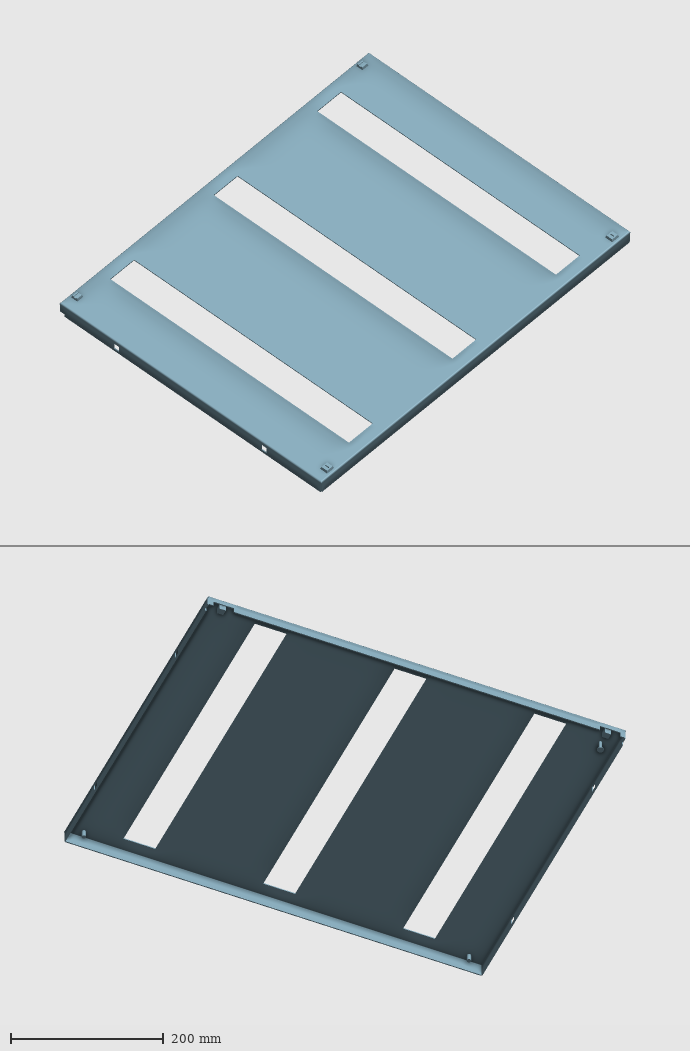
import cadquery as cq

LENGTH_X = 465.0
LENGTH_Y = 598.0
OVERALL_HEIGHT = 23.5
PANEL_HEIGHT = 20.0
SHEET = 1.5
PLATE_UNDERSIDE = PANEL_HEIGHT - SHEET
BEND_RADIUS = 2.25
LEFT_FLANGE_RISE = 4.5
CORNER_RELIEF_X = 1.0
CORNER_RELIEF_Y = 1.7
CORNER_STEP = 9.0
HALF_X = LENGTH_X / 2
HALF_Y = LENGTH_Y / 2

SLOT_X = 424.0
SLOT_Y = 46.0
SLOT_PITCH = 200.0
SLOT_COUNT = 3

SQUARE = 9.5
SQUARE_X = 131.0
SQUARE_Z = 9.0

CLIP_CENTRE_X = HALF_X - 10.0
SCREW_X = HALF_X - 11.0
FASTENER_Y = HALF_Y - 23.5
HEAD_TAPER = 20.0
FASTENER_BOTTOM = 8.5

NOTCH_START = 8.0
NOTCH_LENGTH = 29.0
NOTCH_TOP = 11.5

CLIP_X = 11.0
CLIP_Y = 11.5
CLIP_STEM = 9.0
CLIP_SLIT = 4.0
CLIP_SLIT_FLOOR = OVERALL_HEIGHT - 1.0

COLLAR_X = 12.5
COLLAR_Y = 13.5
COLLAR_HOLE = 8.0
SHANK_DIAMETER = 6.0
DRIVE_LENGTH = 6.0
DRIVE_WIDTH = 1.5
DRIVE_DEPTH = 2.0

STUD_X = -HALF_X + 33.0
STUD_Y = -HALF_Y + 22.0
STUD_DIAMETER = 4.5
STUD_HEAD = 9.0
STUD_HEAD_HEIGHT = 1.0
STUD_BOTTOM = 4.0


def box_between(low, high):
    size = [b - a for a, b in zip(low, high)]
    return cq.Workplane("XY").box(*size, centered=False).translate(low)


def rod(diameter, bottom, top, x=0.0, y=0.0):
    return cq.Workplane("XY", origin=(x, y, bottom)).circle(diameter / 2).extrude(top - bottom)


def make_panel():
    outer = box_between((-HALF_X, -HALF_Y, 0), (HALF_X, HALF_Y, PANEL_HEIGHT))
    outer = outer.faces(">Z").edges().fillet(BEND_RADIUS)
    inner = box_between(
        (-HALF_X + SHEET, -HALF_Y + SHEET, 0),
        (HALF_X - SHEET, HALF_Y - SHEET, PLATE_UNDERSIDE),
    )
    inner = inner.faces(">Z").edges().fillet(BEND_RADIUS - SHEET)
    panel = outer.cut(inner)

    slots = (
        cq.Workplane("XY")
        .rarray(1, SLOT_PITCH, 1, SLOT_COUNT)
        .rect(SLOT_X, SLOT_Y)
        .extrude(PANEL_HEIGHT)
    )
    panel = panel.cut(slots)

    squares = (
        cq.Workplane("XZ", origin=(0, HALF_Y, SQUARE_Z))
        .rarray(2 * SQUARE_X, 1, 2, 1)
        .rect(SQUARE, SQUARE)
        .extrude(LENGTH_Y)
    )
    panel = panel.cut(squares)

    panel = panel.cut(box_between(
        (-HALF_X, -HALF_Y, 0), (-HALF_X + CORNER_STEP, HALF_Y, LEFT_FLANGE_RISE)))

    reliefs = (
        cq.Workplane("XY")
        .rarray(LENGTH_X - CORNER_RELIEF_X, LENGTH_Y - CORNER_RELIEF_Y, 2, 2)
        .rect(CORNER_RELIEF_X, CORNER_RELIEF_Y)
        .extrude(PANEL_HEIGHT - BEND_RADIUS)
    )
    panel = panel.cut(reliefs)

    for side in (-1, 1):
        notch_y = side * (HALF_Y - NOTCH_START - NOTCH_LENGTH / 2)
        panel = panel.cut(box_between(
            (-HALF_X, notch_y - NOTCH_LENGTH / 2, 0),
            (-HALF_X + SHEET, notch_y + NOTCH_LENGTH / 2, NOTCH_TOP)))
        panel = panel.cut(box_between(
            (-CLIP_CENTRE_X - CLIP_STEM / 2, side * FASTENER_Y - CLIP_STEM / 2, PLATE_UNDERSIDE),
            (-CLIP_CENTRE_X + CLIP_STEM / 2, side * FASTENER_Y + CLIP_STEM / 2, PANEL_HEIGHT)))
        panel = panel.cut(rod(SHANK_DIAMETER, PLATE_UNDERSIDE, PANEL_HEIGHT, SCREW_X, side * FASTENER_Y))
    return panel


def make_head(size_x, size_y):
    head = cq.Workplane("XY", origin=(0, 0, PANEL_HEIGHT)).rect(size_x, size_y)
    return head.extrude(OVERALL_HEIGHT - PANEL_HEIGHT, taper=HEAD_TAPER)


def make_clip(side):
    stem = CLIP_STEM / 2
    clip = make_head(CLIP_X, CLIP_Y)
    clip = clip.union(box_between((-stem, -stem, FASTENER_BOTTOM), (stem, stem, PANEL_HEIGHT)))
    clip = clip.cut(box_between(
        (-CLIP_SLIT / 2, -CLIP_Y / 2, CLIP_SLIT_FLOOR), (CLIP_SLIT / 2, CLIP_Y / 2, OVERALL_HEIGHT)))
    return clip.translate((-CLIP_CENTRE_X, side * FASTENER_Y, 0))


def make_collar(side):
    collar = make_head(COLLAR_X, COLLAR_Y)
    collar = collar.cut(rod(COLLAR_HOLE, PANEL_HEIGHT, OVERALL_HEIGHT))
    return collar.translate((SCREW_X, side * FASTENER_Y, 0))


def make_screw(side):
    screw = rod(COLLAR_HOLE, PANEL_HEIGHT, OVERALL_HEIGHT)
    screw = screw.union(rod(SHANK_DIAMETER, FASTENER_BOTTOM, PANEL_HEIGHT))
    drive = (
        cq.Workplane("XY", origin=(0, 0, OVERALL_HEIGHT - DRIVE_DEPTH))
        .rect(DRIVE_LENGTH, DRIVE_WIDTH)
        .extrude(DRIVE_DEPTH)
    )
    screw = screw.cut(drive)
    return screw.translate((SCREW_X, side * FASTENER_Y, 0))


def make_stud():
    stud = rod(STUD_DIAMETER, STUD_BOTTOM, PLATE_UNDERSIDE)
    stud = stud.union(rod(STUD_HEAD, STUD_BOTTOM, STUD_BOTTOM + STUD_HEAD_HEIGHT))
    return stud.translate((STUD_X, STUD_Y, 0))


bodies = [make_panel().val(), make_stud().val()]
for side in (-1, 1):
    bodies += [make_clip(side).val(), make_collar(side).val(), make_screw(side).val()]
result = cq.Compound.makeCompound(bodies)